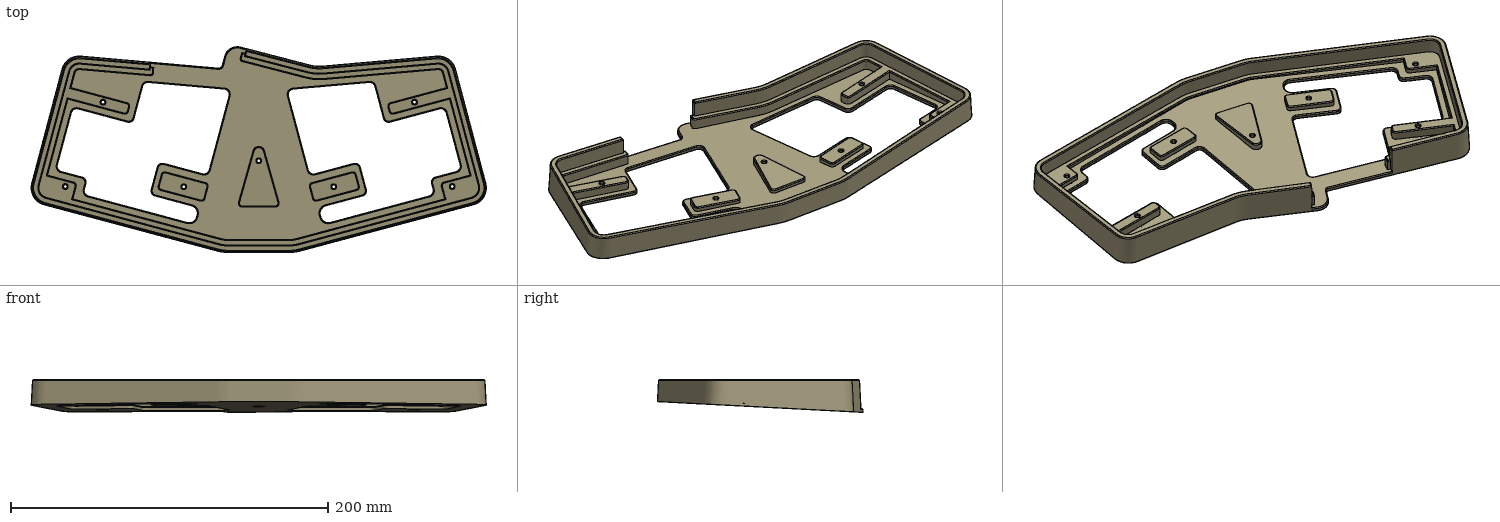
import cadquery as cq
import math

FRONT_HEIGHT = 13.9
UNDERSIDE_TILT = 3.0
PLATE_THICKNESS = 2.5
LEDGE_DEPTH = 10.3
FLOOR_DEPTH = 25.8
OUTER_DRAFT = 3.0
EDGE_CHAMFER = 0.63

FRONT_HALF_WIDTH = 22.7
WING_ANGLE = 15.0
WING_LENGTH = 126.58
REAR_ANGLE = 5.0
VALLEY = (36.05, 115.3)
MIDDLE_REAR_ANGLE = 14.5
TONGUE_SIDE_X = -22.5
TONGUE_RADIUS = 7.2
TONGUE_ROOT_RADIUS = 3.5
CORNER_RADIUS = 10.3
BEND_RADIUS = 25.8

WALL_WIDTH = 4.0
LEDGE_INSET = 7.5
BORDER_INSET = 11.8

LEFT_LEDGE_END_X = -66.0
RIGHT_LEDGE_END_X = -10.19
WALL_END_SETBACK = 2.15
LEDGE_END_RADIUS = 1.7
GAP_REACH = 11.5

OPENING_INNER_U = 21.5
TAB_END_U = 53.7
TAB_V = (22.7, 44.0)
REAR_TAB_INNER_U = 75.7
REAR_TAB_V = 63.0
CORNER_TAB_U = 94.5
CORNER_TAB_V = 22.24
OPENING_RADIUS = 3.5
SLOT_RADIUS = 5.0

PAD_U = (19.5, 50.0)
PAD_V = (27.0, 39.0)
PAD_RADIUS = 2.3
BAR_END_U = 80.3
BAR_V = (67.5, 75.0)
CORNER_PAD_U = 99.8
CORNER_PAD_V = 17.8
SCREW_SPOTS = [(34.3, 33.0), (97.3, 71.3), (106.5, 13.8)]

TRIANGLE_BASE_Y = 27.8
TRIANGLE_TIP_Y = 76.0
TRIANGLE_HALF_WIDTH = 13.63
TRIANGLE_TIP_RADIUS = 3.7
TRIANGLE_BASE_RADIUS = 2.5
TRIANGLE_HOLE_Y = 57.0

SCREW_DIAMETER = 2.4
SCREW_RECESS_DIAMETER = 8.0
SCREW_RECESS_DEPTH = 1.7


def direction(angle):
    return math.cos(math.radians(angle)), math.sin(math.radians(angle))


def step(point, angle, distance):
    dx, dy = direction(angle)
    return point[0] + distance * dx, point[1] + distance * dy


def meet(start, angle, other_start, other_angle):
    """Crossing point of two lines, each given by a point and a heading in degrees."""
    dx, dy = direction(angle)
    ex, ey = direction(other_angle)
    gap_x = other_start[0] - start[0]
    gap_y = other_start[1] - start[1]
    along = (gap_x * ey - gap_y * ex) / (dx * ey - dy * ex)
    return step(start, angle, along)


def wing_point(u, v):
    """X, Y of a point given in the coordinates of the right wing."""
    return step(step((FRONT_HALF_WIDTH, 0), WING_ANGLE, u), WING_ANGLE + 90, v)


def mirrored(point):
    return -point[0], point[1]


def heading(start, end):
    return math.degrees(math.atan2(end[1] - start[1], end[0] - start[0]))


def rounded_polygon(corners):
    """Closed wire through (point, radius) corners, at the bottom level FLOOR_DEPTH."""
    path = cq.Workplane("XY", origin=(0, 0, -FLOOR_DEPTH))
    for index, (corner, radius) in enumerate(corners):
        back = heading(corner, corners[index - 1][0])
        ahead = heading(corner, corners[(index + 1) % len(corners)][0])
        half_turn = math.remainder(ahead - back, 360) / 2
        half_angle = math.radians(abs(half_turn))
        trim = radius / math.tan(half_angle)
        start = step(corner, back, trim)
        path = path.lineTo(*start) if index else path.moveTo(*start)
        if radius:
            middle = step(corner, back + half_turn, radius / math.sin(half_angle) - radius)
            path = path.threePointArc(middle, step(corner, ahead, trim))
    return path.close()


def column(corners, top, inset=0.0):
    """Upright prism from the bottom level to the given top, its outline optionally inset."""
    outline = rounded_polygon(corners)
    if inset:
        outline = outline.offset2D(-inset)
    return outline.extrude(FLOOR_DEPTH + top)


def above_underside(offset):
    """Large block whose sloping bottom lies the given distance above the underside."""
    block = cq.Workplane("XY").box(860.7, 860.7, 287, centered=(True, True, False))
    block = block.rotate((0, 0, 0), (1, 0, 0), -UNDERSIDE_TILT)
    return block.translate((0, 0, -FRONT_HEIGHT + offset))


def both_wings(solid):
    return solid.union(solid.mirror("YZ"))


wing_front = (FRONT_HALF_WIDTH, 0.0)
wing_corner = wing_point(WING_LENGTH, 0)
rear_corner = meet(VALLEY, REAR_ANGLE, wing_corner, 90 + WING_ANGLE)
tongue_side = (TONGUE_SIDE_X, VALLEY[1])
tongue_root = meet(mirrored(VALLEY), -REAR_ANGLE, tongue_side, 90 - WING_ANGLE)
tongue_tip = meet(VALLEY, -MIDDLE_REAR_ANGLE, tongue_side, 90 - WING_ANGLE)
outline_corners = [
    (mirrored(wing_front), BEND_RADIUS),
    (wing_front, BEND_RADIUS),
    (wing_corner, CORNER_RADIUS),
    (rear_corner, CORNER_RADIUS),
    (VALLEY, BEND_RADIUS),
    (tongue_tip, TONGUE_RADIUS),
    (tongue_root, TONGUE_ROOT_RADIUS),
    (mirrored(rear_corner), CORNER_RADIUS),
    (mirrored(wing_corner), CORNER_RADIUS),
]


def drafted_body():
    growth = FLOOR_DEPTH * math.tan(math.radians(OUTER_DRAFT))
    base = rounded_polygon(outline_corners).offset2D(growth)
    return base.extrude(FLOOR_DEPTH, taper=OUTER_DRAFT).intersect(above_underside(0))


def openings():
    side_u = WING_LENGTH - BORDER_INSET
    rear_start = step(VALLEY, REAR_ANGLE - 90, BORDER_INSET)
    square = 90 + WING_ANGLE
    rear_outer = meet(rear_start, REAR_ANGLE, wing_point(REAR_TAB_INNER_U, 0), square)
    rear_inner = meet(rear_start, REAR_ANGLE, wing_point(OPENING_INNER_U, 0), square)
    outline = [
        (wing_point(OPENING_INNER_U, TAB_V[1]), OPENING_RADIUS),
        (wing_point(TAB_END_U, TAB_V[1]), OPENING_RADIUS),
        (wing_point(TAB_END_U, TAB_V[0]), OPENING_RADIUS),
        (wing_point(OPENING_INNER_U, TAB_V[0]), SLOT_RADIUS),
        (wing_point(OPENING_INNER_U, BORDER_INSET), SLOT_RADIUS),
        (wing_point(CORNER_TAB_U, BORDER_INSET), OPENING_RADIUS),
        (wing_point(CORNER_TAB_U, CORNER_TAB_V), OPENING_RADIUS),
        (wing_point(side_u, CORNER_TAB_V), OPENING_RADIUS),
        (wing_point(side_u, REAR_TAB_V), OPENING_RADIUS),
        (wing_point(REAR_TAB_INNER_U, REAR_TAB_V), OPENING_RADIUS),
        (rear_outer, OPENING_RADIUS),
        (rear_inner, OPENING_RADIUS),
    ]
    return both_wings(column(outline, 0))


def gap_ends(setback):
    """Points on the rear edges where the left and right wall ends cross them."""
    left = meet(mirrored(VALLEY), -REAR_ANGLE, (LEFT_LEDGE_END_X - setback, 0), 90)
    right = meet(VALLEY, -MIDDLE_REAR_ANGLE, (RIGHT_LEDGE_END_X + setback, 0), 90)
    return left, right


def rear_gap(setback):
    """Space between the two ends of the rear wall, its sides square to the rear edges."""
    left, right = gap_ends(setback)
    left_square = 90 - REAR_ANGLE
    right_square = 90 - MIDDLE_REAR_ANGLE
    outline = [
        step(left, left_square, -GAP_REACH),
        (tongue_tip[0], tongue_root[1] - GAP_REACH),
        step(right, right_square, -GAP_REACH),
        step(right, right_square, GAP_REACH),
        step(left, left_square, GAP_REACH),
    ]
    return column([(point, 0) for point in outline], 0)


def plate():
    slab = drafted_body().cut(above_underside(PLATE_THICKNESS)).cut(openings())
    lean_y, lean_z = direction(90 - UNDERSIDE_TILT)
    upward = cq.selectors.DirectionMinMaxSelector(cq.Vector(0, lean_y, lean_z))
    slab = slab.faces(upward).edges().chamfer(EDGE_CHAMFER)
    kept = column(outline_corners, 0, WALL_WIDTH / 2).union(rear_gap(WALL_END_SETBACK))
    return slab.intersect(kept)


def wall():
    ring = drafted_body().cut(column(outline_corners, 0, WALL_WIDTH)).cut(rear_gap(WALL_END_SETBACK))
    return ring.faces(">Z").edges().chamfer(EDGE_CHAMFER)


def wing_pad(corners):
    return column([(wing_point(u, v), radius) for u, v, radius in corners], -LEDGE_DEPTH)


def ledge():
    """Ledge along the wall with the bars and corner pads that grow out of it."""
    buried = WALL_WIDTH / 2
    side_u = WING_LENGTH - WALL_WIDTH
    ring = column(outline_corners, -LEDGE_DEPTH, buried)
    ring = ring.cut(column(outline_corners, -LEDGE_DEPTH, LEDGE_INSET))
    bar = wing_pad([
        (BAR_END_U, BAR_V[0], PAD_RADIUS),
        (side_u, BAR_V[0], 0),
        (side_u, BAR_V[1], 0),
        (BAR_END_U, BAR_V[1], PAD_RADIUS),
    ])
    corner_pad = wing_pad([
        (CORNER_PAD_U, WALL_WIDTH, 0),
        (side_u, WALL_WIDTH, CORNER_RADIUS - WALL_WIDTH),
        (side_u, CORNER_PAD_V, 0),
        (CORNER_PAD_U, CORNER_PAD_V, PAD_RADIUS),
    ])
    ring = ring.union(both_wings(bar.union(corner_pad))).cut(rear_gap(0))
    left, right = gap_ends(0)
    inner_corners = [
        step(left, 90 - REAR_ANGLE, -LEDGE_INSET),
        step(right, 90 - MIDDLE_REAR_ANGLE, -LEDGE_INSET),
    ]
    middle_height = -(FLOOR_DEPTH + LEDGE_DEPTH) / 2
    for x, y in inner_corners:
        upright = cq.selectors.NearestToPointSelector((x, y, middle_height))
        ring = ring.edges(upright).fillet(LEDGE_END_RADIUS)
    return ring.faces(">Z").edges().chamfer(EDGE_CHAMFER)


def separate_pads():
    inner_pad = wing_pad([
        (PAD_U[0], PAD_V[0], PAD_RADIUS),
        (PAD_U[1], PAD_V[0], PAD_RADIUS),
        (PAD_U[1], PAD_V[1], PAD_RADIUS),
        (PAD_U[0], PAD_V[1], PAD_RADIUS),
    ])
    triangle = column([
        ((-TRIANGLE_HALF_WIDTH, TRIANGLE_BASE_Y), TRIANGLE_BASE_RADIUS),
        ((TRIANGLE_HALF_WIDTH, TRIANGLE_BASE_Y), TRIANGLE_BASE_RADIUS),
        ((0, TRIANGLE_TIP_Y), TRIANGLE_TIP_RADIUS),
    ], -LEDGE_DEPTH)
    return both_wings(inner_pad).union(triangle).faces(">Z").edges().chamfer(EDGE_CHAMFER)


def screw_holes():
    right = [wing_point(u, v) for u, v in SCREW_SPOTS]
    spots = right + [mirrored(spot) for spot in right] + [(0, TRIANGLE_HOLE_Y)]

    def drills(diameter):
        level = cq.Workplane("XY", origin=(0, 0, -FLOOR_DEPTH)).pushPoints(spots)
        return level.circle(diameter / 2).extrude(FLOOR_DEPTH - LEDGE_DEPTH)

    recesses = drills(SCREW_RECESS_DIAMETER).cut(above_underside(SCREW_RECESS_DEPTH))
    mouths = cq.Workplane("XY", origin=(0, 0, -LEDGE_DEPTH)).pushPoints(spots)
    mouths = mouths.circle(SCREW_DIAMETER / 2 + EDGE_CHAMFER).extrude(-EDGE_CHAMFER, taper=45)
    return drills(SCREW_DIAMETER).union(recesses).union(mouths)


raised = ledge().union(separate_pads()).intersect(above_underside(0))
result = plate().union(wall()).union(raised).cut(screw_holes())